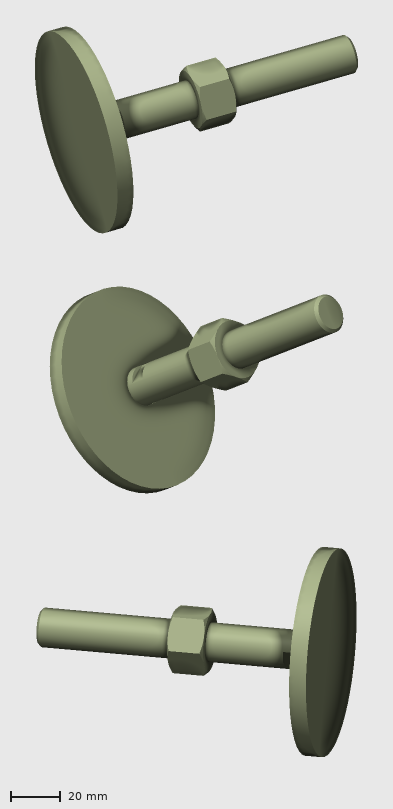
import cadquery as cq
import math

OVERALL_LENGTH = 120

PLATE_DIAMETER = 84
PLATE_THICKNESS = 7.0
NECK_BASE_RADIUS = 5.9
NECK_TIP_RADIUS = 5.2
NECK_HEIGHT = 1.1

STUD_DIAMETER = 16.0
STUD_RADIUS = STUD_DIAMETER / 2
STUD_START = PLATE_THICKNESS + NECK_HEIGHT
FOOT_CHAMFER = 1.0
TIP_CHAMFER = 1.2

FLATS_START = 12
FLATS_LENGTH = 6
FLATS_WIDTH = 12
FLATS_TURN = 30

NUT_START = 49.9
NUT_THICKNESS = 14.9
NUT_ACROSS_FLATS = 24
NUT_ACROSS_CORNERS = NUT_ACROSS_FLATS / math.cos(math.radians(30))
NUT_CHAMFER_ANGLE = 30


def at_height(y):
    """Workplane across the axis at height y, extruding toward +Y."""
    return cq.Workplane(cq.Plane(origin=(0, y, 0), xDir=(1, 0, 0), normal=(0, 1, 0)))


def revolve_about_axis(points):
    """Turn a closed (radius, height) outline about the Y axis."""
    return cq.Workplane("XY").polyline(points).close().revolve(360, (0, 0), (0, 1))


def make_foot_plate():
    plate_radius = PLATE_DIAMETER / 2
    return revolve_about_axis([
        (0, 0),
        (plate_radius, 0),
        (plate_radius, PLATE_THICKNESS),
        (NECK_BASE_RADIUS, PLATE_THICKNESS),
        (NECK_TIP_RADIUS, STUD_START),
        (0, STUD_START),
    ])


def make_wrench_flat_cutter():
    """Disc without its middle strip, whose removal leaves two parallel flats."""
    disc_diameter = 4 * STUD_RADIUS
    disc = at_height(FLATS_START).circle(disc_diameter / 2).extrude(FLATS_LENGTH)
    kept = at_height(FLATS_START).rect(FLATS_WIDTH, disc_diameter).extrude(FLATS_LENGTH)
    return disc.cut(kept).rotate((0, 0, 0), (0, 1, 0), -FLATS_TURN)


def make_stud():
    body = revolve_about_axis([
        (0, STUD_START),
        (STUD_RADIUS - FOOT_CHAMFER, STUD_START),
        (STUD_RADIUS, STUD_START + FOOT_CHAMFER),
        (STUD_RADIUS, OVERALL_LENGTH - TIP_CHAMFER),
        (STUD_RADIUS - TIP_CHAMFER, OVERALL_LENGTH),
        (0, OVERALL_LENGTH),
    ])
    return body.cut(make_wrench_flat_cutter())


def make_nut():
    prism = at_height(NUT_START).polygon(6, NUT_ACROSS_CORNERS).extrude(NUT_THICKNESS)
    face_radius = NUT_ACROSS_FLATS / 2
    corner_radius = NUT_ACROSS_CORNERS / 2
    chamfer = (corner_radius - face_radius) * math.tan(math.radians(NUT_CHAMFER_ANGLE))
    nut_end = NUT_START + NUT_THICKNESS
    envelope = revolve_about_axis([
        (0, NUT_START),
        (face_radius, NUT_START),
        (corner_radius, NUT_START + chamfer),
        (corner_radius, nut_end - chamfer),
        (face_radius, nut_end),
        (0, nut_end),
    ])
    bore = at_height(NUT_START).circle(STUD_RADIUS).extrude(NUT_THICKNESS)
    return prism.intersect(envelope).cut(bore)


foot_plate = make_foot_plate()
stud = make_stud()
nut = make_nut()

result = cq.Compound.makeCompound([foot_plate.val(), stud.val(), nut.val()])